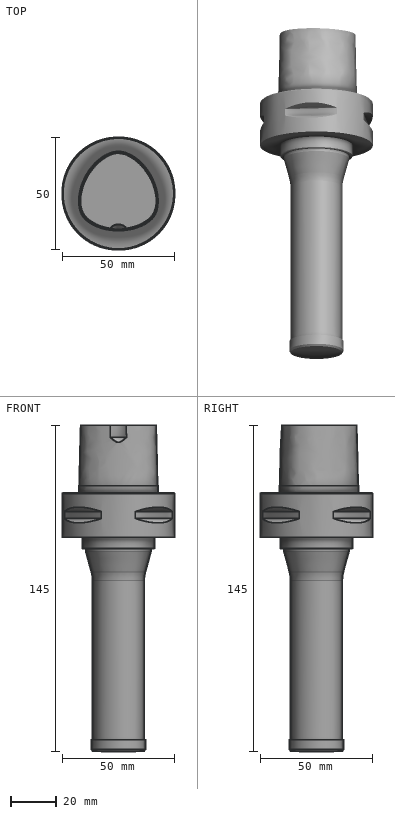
import cadquery as cq
import math

TOTAL_LENGTH = 145.0
COUPLING_LENGTH = 30.0
COUPLING_BASE_LENGTH = 3.2
FLANGE_HEIGHT = 19.7
COLLAR_HEIGHT = 5.1
FLANGE_TOP = TOTAL_LENGTH - COUPLING_LENGTH
FLANGE_BOTTOM = FLANGE_TOP - FLANGE_HEIGHT
COLLAR_BOTTOM = FLANGE_BOTTOM - COLLAR_HEIGHT

LOBE_DIAMETER = 35.0
BASE_DIAMETER = 35.2
ECCENTRICITY = 1.12
TAPER_RATIO = 1 / 20
LOBE_POINTS = 48
TAPER_LENGTH = COUPLING_LENGTH - COUPLING_BASE_LENGTH
TIP_DIAMETER = LOBE_DIAMETER - TAPER_RATIO * TAPER_LENGTH

NOTCH_RADIUS = 4.4
NOTCH_DEPTH = 5.4
NOTCH_OFFSET = 18.0

FLANGE_RADIUS = 50.0 / 2
FLANGE_CHAMFER = 0.5
SLOT_COUNT = 4
SLOT_FIRST_ANGLE = 45.0
SLOT_DROP = 9.9
SLOT_FLOOR_RADIUS = 22.2
SLOT_FLOOR_HEIGHT = 2.9
SLOT_BEVEL_HEIGHT = 0.3
SLOT_BEVEL_DEPTH = 0.3
SLOT_FLANK_ANGLE = 35.0
SLOT_OVERCUT = 1.5

COLLAR_RADIUS = 32.0 / 2
COLLAR_CHAMFER = 0.3
NECK_RADIUS = 29.0 / 2
NECK_HEIGHT = 1.2
SHANK_RADIUS = 23.0 / 2
CONE_HEIGHT = 12.8
BLEND_HEIGHT = 3.6

HEAD_RADIUS = 24.0 / 2
HEAD_LENGTH = 5.5
HEAD_BEVEL_HEIGHT = 0.9
HEAD_BEVEL_WIDTH = 0.6
HEAD_CROWN_HEIGHT = 0.5
HEAD_TIP_RADIUS = 3.6


def lobed_wire(diameter, z):
    """Closed trochoid outline with one lobe toward +Y."""
    def point(index):
        a = 2 * math.pi * index / LOBE_POINTS
        e = ECCENTRICITY
        across = diameter / 2 * math.sin(a) + 2 * e * math.sin(2 * a) + e * math.sin(4 * a)
        along = diameter / 2 * math.cos(a) - 2 * e * math.cos(2 * a) + e * math.cos(4 * a)
        return cq.Vector(across, -along, z)

    curve = cq.Edge.makeSpline([point(i) for i in range(LOBE_POINTS)], periodic=True)
    return cq.Wire.assembleEdges([curve])


def make_coupling():
    taper_start = FLANGE_TOP + COUPLING_BASE_LENGTH
    taper = cq.Solid.makeLoft([
        lobed_wire(LOBE_DIAMETER, taper_start),
        lobed_wire(TIP_DIAMETER, TOTAL_LENGTH),
    ])
    base = cq.Solid.extrudeLinear(
        lobed_wire(BASE_DIAMETER, FLANGE_TOP), [], cq.Vector(0, 0, COUPLING_BASE_LENGTH)
    )
    return cq.Workplane(base).union(cq.Workplane(taper))


def make_notch():
    shoulder = TOTAL_LENGTH - NOTCH_DEPTH
    drill = (
        cq.Workplane("XZ")
        .moveTo(0, TOTAL_LENGTH)
        .lineTo(NOTCH_RADIUS, TOTAL_LENGTH)
        .lineTo(NOTCH_RADIUS, shoulder)
        .lineTo(0, shoulder - NOTCH_RADIUS)
        .close()
        .revolve()
    )
    return drill.translate((0, -NOTCH_OFFSET, 0))


def make_gripper_slot(angle):
    """Straight cutter across the rim: flat floor, bevelled corners and flared flanks."""
    half_floor = SLOT_FLOOR_HEIGHT / 2
    half_bevel = half_floor + SLOT_BEVEL_HEIGHT
    flank_radius = SLOT_FLOOR_RADIUS + SLOT_BEVEL_DEPTH
    outer_radius = FLANGE_RADIUS + SLOT_OVERCUT
    flare = (outer_radius - flank_radius) * math.tan(math.radians(SLOT_FLANK_ANGLE))
    half_mouth = half_bevel + flare
    cutter = (
        cq.Workplane("XZ")
        .polyline([
            (SLOT_FLOOR_RADIUS, -half_floor),
            (flank_radius, -half_bevel),
            (outer_radius, -half_mouth),
            (outer_radius, half_mouth),
            (flank_radius, half_bevel),
            (SLOT_FLOOR_RADIUS, half_floor),
        ])
        .close()
        .extrude(FLANGE_RADIUS, both=True)
    )
    slot_level = FLANGE_TOP - SLOT_DROP
    return cutter.translate((0, 0, slot_level)).rotate((0, 0, 0), (0, 0, 1), angle)


def make_turned_body():
    """Flange, collar, cone and shank as one revolved profile."""
    cone_top = COLLAR_BOTTOM - NECK_HEIGHT
    cone_bottom = cone_top - CONE_HEIGHT
    slope = math.atan((NECK_RADIUS - SHANK_RADIUS) / (CONE_HEIGHT - BLEND_HEIGHT / 2))
    blend_radius = BLEND_HEIGHT / math.sin(slope)

    def blend_point(angle):
        radius = SHANK_RADIUS + blend_radius * (1 - math.cos(angle))
        return radius, cone_bottom + blend_radius * math.sin(angle)

    return (
        cq.Workplane("XZ")
        .moveTo(0, FLANGE_TOP)
        .lineTo(FLANGE_RADIUS - FLANGE_CHAMFER, FLANGE_TOP)
        .lineTo(FLANGE_RADIUS, FLANGE_TOP - FLANGE_CHAMFER)
        .lineTo(FLANGE_RADIUS, FLANGE_BOTTOM)
        .lineTo(COLLAR_RADIUS, FLANGE_BOTTOM)
        .lineTo(COLLAR_RADIUS, COLLAR_BOTTOM + COLLAR_CHAMFER)
        .lineTo(COLLAR_RADIUS - COLLAR_CHAMFER, COLLAR_BOTTOM)
        .lineTo(NECK_RADIUS, COLLAR_BOTTOM)
        .lineTo(NECK_RADIUS, cone_top)
        .lineTo(*blend_point(slope))
        .threePointArc(blend_point(slope / 2), (SHANK_RADIUS, cone_bottom))
        .lineTo(SHANK_RADIUS, HEAD_LENGTH)
        .lineTo(0, HEAD_LENGTH)
        .close()
        .revolve()
    )


def make_holder():
    holder = make_turned_body().union(make_coupling()).cut(make_notch())
    for index in range(SLOT_COUNT):
        angle = SLOT_FIRST_ANGLE + index * 360 / SLOT_COUNT
        holder = holder.cut(make_gripper_slot(angle))
    return holder


def make_cutting_head():
    """Short disc with a bevelled edge and a shallow, flat-tipped crown at the free end of the shank."""
    return (
        cq.Workplane("XZ")
        .moveTo(0, HEAD_LENGTH)
        .lineTo(HEAD_RADIUS, HEAD_LENGTH)
        .lineTo(HEAD_RADIUS, HEAD_CROWN_HEIGHT + HEAD_BEVEL_HEIGHT)
        .lineTo(HEAD_RADIUS - HEAD_BEVEL_WIDTH, HEAD_CROWN_HEIGHT)
        .lineTo(HEAD_TIP_RADIUS, 0)
        .lineTo(0, 0)
        .close()
        .revolve()
    )


holder = make_holder()
cutting_head = make_cutting_head()

result = cq.Compound.makeCompound([holder.solids().val(), cutting_head.val()])